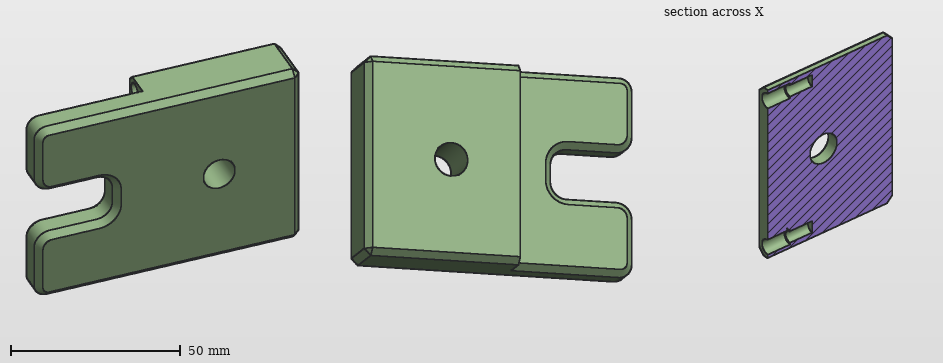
import cadquery as cq

thickness = 18.0
length = 84.3
height = 60.3
chamfer = 2.0

body_length = 47.3
step_depth = 8.0
fork_length = length - body_length

slot_width = 15.0
slot_depth = 24.95
slot_radius = 5.0
outer_corner_radius = 4.05

cross_hole_diameter = 10.0
cross_hole_from_back = 26.1
mouth_diameter = 5.2
mouth_depth = 8.4
pilot_diameter = 4.0
pilot_depth = 16.9
end_hole_inset = 4.0

selection_margin = 0.85


def fork_plate(x_start, x_size):
    """Slotted plate outline in YZ, front end at Y = 0, extruded along +X."""
    plate = cq.Workplane("XY").box(x_size, length, height, centered=(False, False, True))
    plate = plate.edges("|X and <Y").fillet(outer_corner_radius)
    slot = cq.Workplane("XY").box(x_size, slot_depth, slot_width, centered=(False, False, True))
    slot = slot.edges("|X and >Y").fillet(slot_radius)
    plate = plate.cut(slot)
    mouth_edges = cq.selectors.BoxSelector(
        (-selection_margin, -selection_margin, -slot_width),
        (x_size + selection_margin, selection_margin, slot_width),
    )
    plate = plate.edges("|X").edges(mouth_edges).fillet(slot_radius)
    return plate.translate((x_start, 0, 0))


def chamfered_plate():
    """Full-length thin plate with both broad faces chamfered all round."""
    plate = fork_plate(step_depth, thickness - step_depth)
    return plate.faces("<X or >X").chamfer(chamfer)


def thick_body():
    """Full-thickness rear block, chamfered along its sides and back end."""
    body = cq.Workplane("XY").box(thickness, body_length, height, centered=(False, False, True))
    body = body.translate((0, fork_length, 0))
    return body.edges("|Y or >Y").chamfer(chamfer)


def cross_hole():
    """Hole through the thickness of the rear block."""
    return (
        cq.Workplane("YZ")
        .center(length - cross_hole_from_back, 0)
        .circle(cross_hole_diameter / 2)
        .extrude(thickness)
    )


def end_hole(z):
    """Stepped blind hole running back from the step face."""
    start = cq.Workplane("XZ", origin=(end_hole_inset, fork_length, z))
    mouth = start.circle(mouth_diameter / 2).extrude(-mouth_depth)
    pilot = start.circle(pilot_diameter / 2).extrude(-pilot_depth)
    return mouth.union(pilot)


fork_region = cq.Workplane("XY").box(thickness, fork_length, height, centered=(False, False, True))
result = thick_body().union(chamfered_plate().intersect(fork_region))
result = result.cut(cross_hole())
for side in (-1, 1):
    result = result.cut(end_hole(side * (height / 2 - end_hole_inset)))